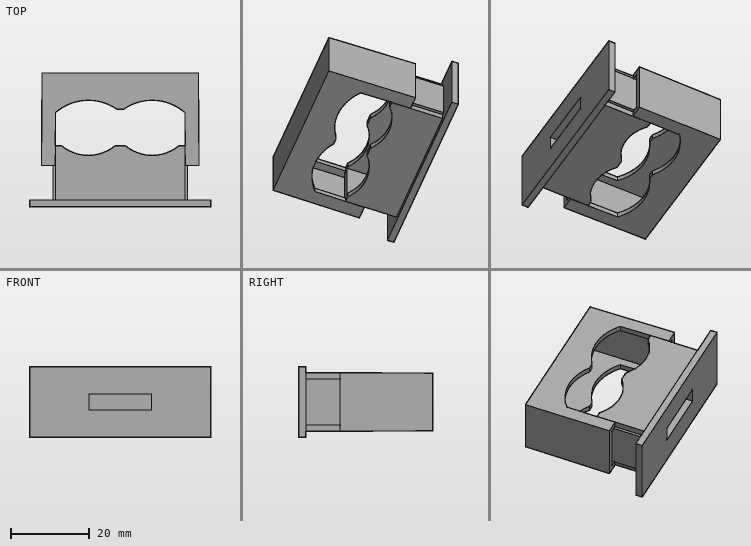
import cadquery as cq
import math


panel_width = 46.0
panel_height = 18.0
panel_thickness = 1.8
window_width = 15.85
window_height = 4.1
window_depth = 2.15

drawer_length = 13.8
drawer_height = 14.9
plate_width = 32.85
plate_thickness = 1.65
body_width = 34.22
wall_thickness = 1.65
drawer_back = panel_thickness + drawer_length

housing_front = 10.5
housing_length = 23.5
front_width = 40.0
front_height = 14.95
back_width = 39.75
back_height = 14.67
housing_wall = 1.5
cavity_width = front_width - 2 * housing_wall
cavity_height = front_height - 2 * housing_wall

arc_offset = 8.1
opening_radius = 12.65
opening_end = 27.05
bridge_drop = 2.3
slot_front_width = 33.05
slot_back_width = 32.75
scallop_radius = 10.65
scallop_depth = 2.5
cut_height = 2 * panel_height


def block(width, length, height, front):
    """Box centred on X and Z whose front face is at Y = front."""
    return cq.Workplane("XY").box(width, length, height).translate((0, front + length / 2, 0))


def cylinder(radius, center_x, center_y):
    """Vertical cylinder taller than either body."""
    return (
        cq.Workplane("XY", origin=(center_x, center_y, -cut_height / 2))
        .circle(radius)
        .extrude(cut_height)
    )


def make_opening():
    """Tapered slot from the housing front, ended by two arcs and a flat bridge."""
    center_y = opening_end - opening_radius
    bridge_y = opening_end - bridge_drop
    bridge_half = arc_offset - math.sqrt(opening_radius**2 - (bridge_y - center_y) ** 2)
    side = slot_back_width / 2
    side_y = center_y + math.sqrt(opening_radius**2 - (side - arc_offset) ** 2)
    return (
        cq.Workplane("XY", origin=(0, 0, -cut_height / 2))
        .moveTo(-slot_front_width / 2, housing_front)
        .lineTo(-side, side_y)
        .threePointArc((-arc_offset, opening_end), (-bridge_half, bridge_y))
        .lineTo(bridge_half, bridge_y)
        .threePointArc((arc_offset, opening_end), (side, side_y))
        .lineTo(slot_front_width / 2, housing_front)
        .close()
        .extrude(cut_height)
    )


def make_housing():
    """Sleeve closed at the back, with the opening through its top and bottom."""
    shell = (
        cq.Workplane("XZ", origin=(0, housing_front, 0))
        .rect(front_width, front_height)
        .workplane(offset=-housing_length)
        .rect(back_width, back_height)
        .loft(ruled=True)
    )
    cavity = block(cavity_width, housing_length - housing_wall, cavity_height, housing_front)
    return shell.cut(cavity).cut(make_opening())


def make_drawer():
    """Front panel with a hollow, open-backed drawer behind it."""
    inner_height = drawer_height - 2 * plate_thickness
    panel = block(panel_width, panel_thickness, panel_height, 0)
    plates = block(plate_width, drawer_length, drawer_height, panel_thickness)
    body = block(body_width, drawer_length, inner_height, panel_thickness)
    hollow = block(
        body_width - 2 * wall_thickness, drawer_back - window_depth, inner_height, window_depth
    )
    window = block(window_width, window_depth, window_height, 0)
    drawer = panel.union(plates).union(body).cut(hollow).cut(window)
    scallop_y = drawer_back - scallop_depth + scallop_radius
    for center_x in (-arc_offset, arc_offset):
        drawer = drawer.cut(cylinder(scallop_radius, center_x, scallop_y))
    return drawer


housing = make_housing()
drawer = make_drawer()

result = cq.Compound.makeCompound([housing.solids().val(), drawer.solids().val()])